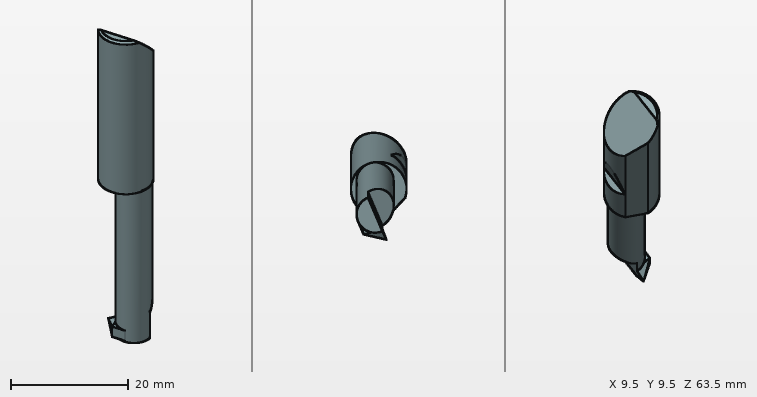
import cadquery as cq
import math

length = 63.5
shank_diameter = 9.5
shank_radius = shank_diameter / 2
shank_bottom = length / 2

end_chamfer = 0.45
bevel_start_y = -2.9

flat_arc = 49.0

notch_top = 48.9
notch_root = 41.15
notch_bottom = 40.3
notch_depth = 1.15

neck_diameter = 6.35
neck_radius = neck_diameter / 2
neck_x = shank_radius - neck_radius
rake_height = 5.4

tip_height = 2.55
tip_x = -3.4
tip_half_angle = math.radians(30)
relief_x = -0.9
tip_taper = 0.2


def make_shank():
    shank = cq.Workplane("XY").workplane(offset=shank_bottom)
    shank = shank.circle(shank_radius).extrude(length - shank_bottom)
    shank = shank.faces(">Z").chamfer(end_chamfer)

    bevel_run = shank_diameter
    bevel = (
        cq.Workplane("YZ")
        .moveTo(bevel_start_y, length)
        .lineTo(bevel_start_y + bevel_run, length)
        .lineTo(bevel_start_y + bevel_run, length - bevel_run)
        .close()
        .extrude(shank_radius, both=True)
    )

    flat_distance = shank_radius * math.cos(math.radians(flat_arc / 2))
    flat = (
        cq.Workplane("XY")
        .box(shank_radius, shank_diameter, length, centered=(False, True, False))
        .translate((flat_distance, 0, 0))
        .rotate((0, 0, 0), (0, 0, 1), 180 - flat_arc / 2)
    )

    notch = (
        cq.Workplane("YZ")
        .moveTo(shank_radius, notch_bottom)
        .lineTo(shank_radius - notch_depth, notch_root)
        .lineTo(shank_radius, notch_top)
        .close()
        .extrude(shank_radius, both=True)
    )
    return shank.cut(bevel).cut(flat).cut(notch)


def make_neck():
    neck = cq.Workplane("XY").center(neck_x, 0).circle(neck_radius).extrude(shank_bottom)

    rake_cut = (
        cq.Workplane("YZ")
        .polyline([
            (0, 0),
            (0, rake_height),
            (neck_diameter, rake_height + neck_diameter),
            (neck_diameter, 0),
        ])
        .close()
        .extrude(shank_radius, both=True)
    )
    return neck.cut(rake_cut)


def polygon_face(points):
    return cq.Face.makeFromWires(cq.Wire.makePolygon([cq.Vector(*point) for point in points], close=True))


def make_cutting_tip():
    """Pointed block: a V at the rake face, relieved towards a narrower front on -Y."""
    flank_x = tip_x + tip_height / 2 / math.tan(tip_half_angle)
    point = (tip_x, 0, tip_height / 2)
    rake_top = (flank_x, 0, tip_height)
    rake_bottom = (flank_x, 0, 0)
    back_top = (neck_x, 0, tip_height)
    back_bottom = (neck_x, 0, 0)
    relief_top = (relief_x, -neck_radius, tip_height - tip_taper)
    relief_bottom = (relief_x, -neck_radius, tip_taper)
    front_top = (neck_x, -neck_radius, tip_height - tip_taper)
    front_bottom = (neck_x, -neck_radius, tip_taper)
    outlines = [
        [point, rake_top, back_top, back_bottom, rake_bottom],
        [point, relief_top, rake_top],
        [point, rake_bottom, relief_bottom],
        [point, relief_bottom, relief_top],
        [rake_top, relief_top, front_top, back_top],
        [rake_bottom, back_bottom, front_bottom, relief_bottom],
        [relief_top, relief_bottom, front_bottom, front_top],
        [back_top, front_top, front_bottom, back_bottom],
    ]
    shell = cq.Shell.makeShell([polygon_face(outline) for outline in outlines])
    return cq.Workplane(cq.Solid.makeSolid(shell))


result = make_shank().union(make_neck()).union(make_cutting_tip())